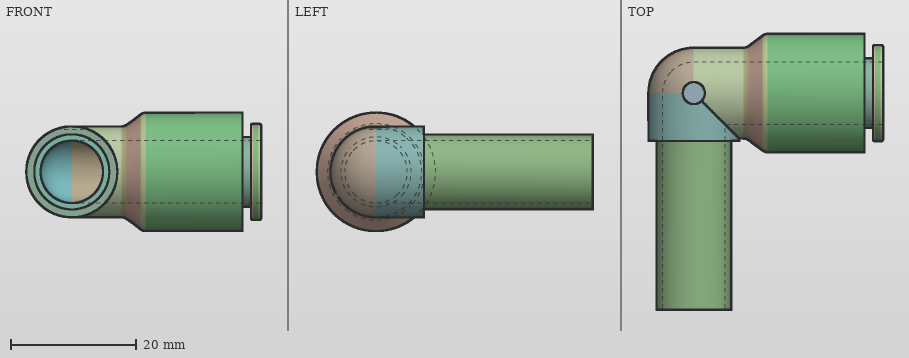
import cadquery as cq

elbow_radius = 7.3
bore_radius = 5.0
collar_length = 7.65

tube_radius = 6.0
tube_length = 34.7

body_radius = 9.5
cone_start = 8.45
cone_end = 11.4
cone_blend_radius = 1.33
body_end = 27.3

sleeve_radius = 5.6
flange_radius = 7.75
flange_start = 28.65
flange_end = 30.3
flange_edge_radius = 0.4

pad_radius = 1.75
pad_depth = 0.5


def cylinder_x(radius, start, end):
    return cq.Workplane("YZ").workplane(offset=start).circle(radius).extrude(end - start)


def cylinder_minus_y(radius, length):
    return cq.Workplane("XZ").circle(radius).extrude(length)


def socket_body():
    profile = [
        (0, 0),
        (0, elbow_radius),
        (cone_start, elbow_radius),
        (cone_end, body_radius),
        (body_end, body_radius),
        (body_end, 0),
    ]
    body = cq.Workplane("XY").polyline(profile).close().revolve(360, (0, 0), (1, 0))
    reach = 2 * body_radius
    margin = 0.5 * cone_blend_radius
    cone_ends = cq.selectors.BoxSelector(
        (cone_start - margin, -reach, -reach),
        (cone_end + margin, reach, reach),
    )
    return body.edges("%CIRCLE").edges(cone_ends).fillet(cone_blend_radius)


def collet():
    sleeve = cylinder_x(sleeve_radius, body_end, flange_start)
    flange = cylinder_x(flange_radius, flange_start, flange_end)
    return sleeve.union(flange.edges("%CIRCLE").fillet(flange_edge_radius))


def elbow_bore():
    bore = cq.Workplane("XY").sphere(bore_radius)
    bore = bore.union(cylinder_x(bore_radius, 0, flange_end))
    return bore.union(cylinder_minus_y(bore_radius, tube_length))


def marking_recess():
    floor = cq.Workplane("XY").workplane(offset=elbow_radius - pad_depth)
    return floor.circle(pad_radius).extrude(2 * pad_depth)


result = (
    cq.Workplane("XY").sphere(elbow_radius)
    .union(cylinder_minus_y(elbow_radius, collar_length))
    .union(cylinder_minus_y(tube_radius, tube_length))
    .union(socket_body())
    .union(collet())
    .cut(elbow_bore())
    .cut(marking_recess())
)